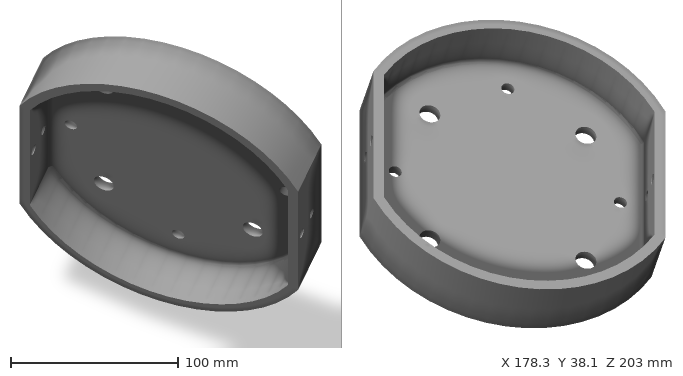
import cadquery as cq

outer_radius = 101.5
width = 178.3
depth = 38.1
wall = 6.5
floor_thickness = 6.3
floor_fillet = 2.5

large_hole_diameter = 12.8
large_hole_offset = 47.7
small_hole_diameter = 8.0
small_hole_x = 68.8
small_hole_z = 75.0

side_hole_diameter = 6.5
side_hole_spacing = 16.0
first_side_hole = 6.3

rim_y = -depth / 2
pocket_depth = depth - floor_thickness


def flat_sided_disc(radius, across_flats, length):
    """Disc cut by two flats facing X, running from the rim toward +Y."""
    disc = cq.Workplane("XZ", origin=(0, rim_y, 0)).circle(radius).extrude(-length)
    slab = cq.Workplane("XY").box(across_flats, 2 * depth, 2 * radius)
    return disc.intersect(slab)


def floor_holes(diameter, points):
    """Cylinders running through the whole depth at the given X, Z points."""
    plane = cq.Workplane("XZ", origin=(0, rim_y, 0))
    return plane.pushPoints(points).circle(diameter / 2).extrude(-depth)


body = flat_sided_disc(outer_radius, width, depth)
pocket = flat_sided_disc(outer_radius - wall, width - 2 * wall, pocket_depth)
pocket = pocket.faces(">Y").edges().fillet(floor_fillet)
body = body.cut(pocket)

large_points = [(x, z) for x in (-large_hole_offset, large_hole_offset)
                for z in (-large_hole_offset, large_hole_offset)]
small_points = [(-small_hole_x, 0), (small_hole_x, 0), (0, -small_hole_z), (0, small_hole_z)]
body = body.cut(floor_holes(large_hole_diameter, large_points))
body = body.cut(floor_holes(small_hole_diameter, small_points))

side_points = [(rim_y + first_side_hole + i * side_hole_spacing, 0) for i in range(2)]
side_holes = (
    cq.Workplane("YZ")
    .pushPoints(side_points)
    .circle(side_hole_diameter / 2)
    .extrude(width / 2, both=True)
)
result = body.cut(side_holes)